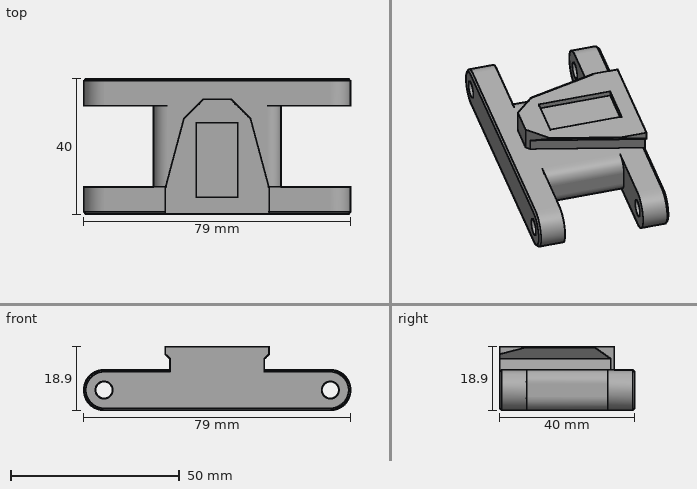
import cadquery as cq
import math

length = 79.0
width = 40.0
arm_height = 12.0
arm_thickness = 8.0
arm_chamfer = 0.6
hole_diameter = 5.0

block_length = 37.8
block_fillet = 4.0

total_height = 18.85
neck_top = 15.25
lip_thickness = 0.3
neck_front_half_width = 14.0
taper_angle = 15.0
head_half_width = 15.4
head_back = 14.0
nose_half_width = 4.1

pocket_width = 12.3
pocket_length = 22.0
pocket_front_gap = 5.0
pocket_depth = 1.6

front = -width / 2
inner_face = width / 2 - arm_thickness
end_radius = arm_height / 2
hole_spacing = length - 2 * end_radius
neck_bottom = arm_height - arm_chamfer
lip_bottom = total_height - lip_thickness
flare = lip_bottom - neck_top


def make_arm(side):
    """One arm with its outer rim chamfered; side is -1 (front) or 1 (rear)."""
    arm = (
        cq.Workplane("XZ", origin=(0, arm_thickness / 2, end_radius))
        .slot2D(length, arm_height)
        .extrude(arm_thickness)
        .faces("<Y" if side < 0 else ">Y")
        .chamfer(arm_chamfer)
    )
    holes = (
        cq.Workplane("XZ", origin=(0, arm_thickness / 2, end_radius))
        .rarray(hole_spacing, 1, 2, 1)
        .circle(hole_diameter / 2)
        .extrude(arm_thickness)
    )
    return arm.cut(holes).translate((0, side * (width - arm_thickness) / 2, 0))


def make_cross_block():
    """Block between the arms, with its long outer edges rounded."""
    return (
        cq.Workplane("XY")
        .box(block_length, 2 * inner_face, arm_height, centered=(True, True, False))
        .edges("|Y")
        .fillet(block_fillet)
    )


def tapered_outline(height, offset):
    """Symmetric tapered outline, its sides moved outward by offset."""
    taper = math.radians(taper_angle)
    front_half = neck_front_half_width + offset / math.cos(taper)
    back_half = front_half - (head_back - front) * math.tan(taper)
    return (
        cq.Workplane("XY", origin=(0, 0, height))
        .moveTo(-front_half, front)
        .lineTo(front_half, front)
        .lineTo(back_half, head_back)
        .lineTo(-back_half, head_back)
        .close()
    )


def make_flare():
    """Loft between the neck outline and the wider lip outline."""
    lower = tapered_outline(neck_top, 0).wires().val()
    upper = tapered_outline(lip_bottom, flare).wires().val()
    return cq.Workplane(cq.Solid.makeLoft([lower, upper], True))


def make_dovetail():
    """Tapered neck and flared head, trimmed at the sides and rear corners."""
    neck = tapered_outline(neck_bottom, 0).extrude(neck_top - neck_bottom)
    lip = tapered_outline(lip_bottom, flare).extrude(lip_thickness)
    corner_y = head_back - (head_half_width - nose_half_width)
    trim = (
        cq.Workplane("XY")
        .moveTo(-head_half_width, front)
        .lineTo(head_half_width, front)
        .lineTo(head_half_width, corner_y)
        .lineTo(nose_half_width, head_back)
        .lineTo(-nose_half_width, head_back)
        .lineTo(-head_half_width, corner_y)
        .close()
        .extrude(total_height)
    )
    return neck.union(make_flare()).union(lip).intersect(trim)


def make_pocket():
    """Rectangular recess in the top of the dovetail."""
    pocket_front = front + pocket_front_gap
    pocket_floor = total_height - pocket_depth
    return (
        cq.Workplane("XY", origin=(0, pocket_front, pocket_floor))
        .box(pocket_width, pocket_length, pocket_depth, centered=(True, False, False))
    )


result = make_cross_block()
for arm_side in (-1, 1):
    result = result.union(make_arm(arm_side))
result = result.union(make_dovetail()).cut(make_pocket())